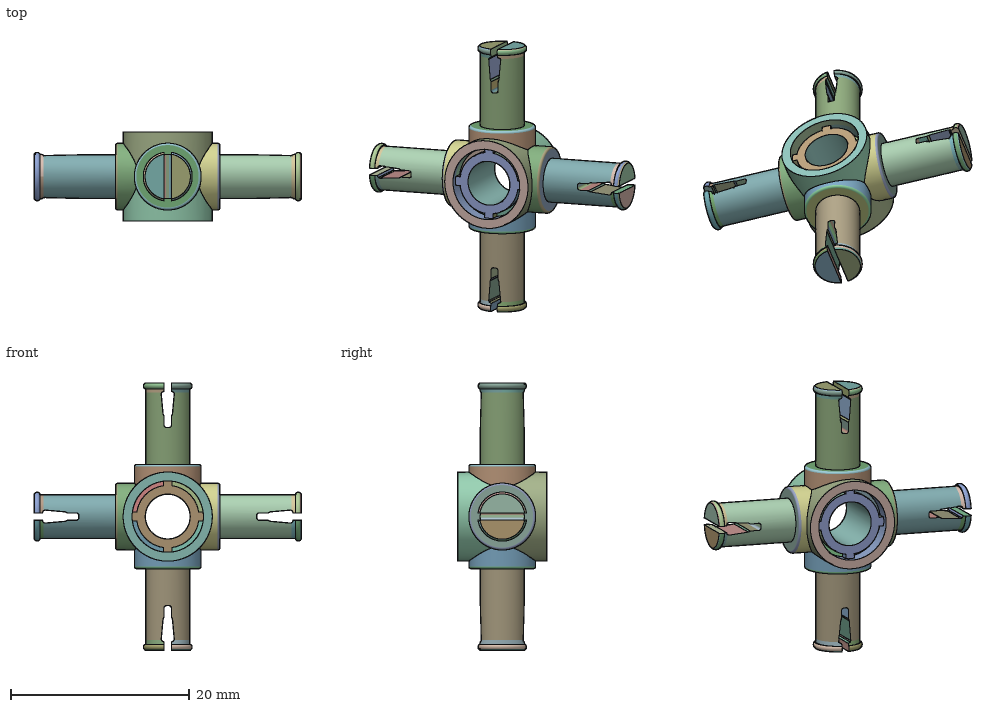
import cadquery as cq
hub_diameter = 10.0
hub_length = 10.0
bore_diameter = 5.0

recess_diameter = 8.0
recess_depth = 0.8
groove_inner_diameter = 7.0
groove_depth = 1.2
tab_width = 1.0
tab_count = 4

arm_count = 4
tip_distance = 29.98 / 2
collar_diameter = 7.5
collar_reach = 5.85
collar_edge_radius = 0.25
pin_diameter = 4.95

lip_diameter = 5.5
lip_face_diameter = 5.08
lip_rim_diameter = 5.32
lip_base_diameter = 5.16
lip_bevel_depth = 0.12
lip_length = 0.66

flare_start_depth = 1.1
flare_width = 5.14

slot_mouth_width = 0.8
slot_step_width = 1.28
slot_shoulder_width = 1.44
slot_waist_width = 1.03
slot_mouth_depth = 0.92
slot_step_depth = 1.05
slot_shoulder_depth = 1.2
slot_waist_depth = 3.5
slot_taper_end_depth = 3.75
slot_depth = 5.0
slot_end_radius = 0.25

full_turn = 360.0


def cylinder_along_y(diameter, start_y, length):
    """Cylinder on the Y axis from start_y toward +Y."""
    plane = cq.Workplane("XZ", origin=(0, start_y, 0))
    return plane.circle(diameter / 2).extrude(-length)


def make_pin():
    """Solid pin along +Z with a bevelled, rounded snap lip at its tip."""
    pin_radius = pin_diameter / 2
    base_z = tip_distance - lip_length
    bevel_z = tip_distance - lip_bevel_depth
    crest_z = (base_z + bevel_z) / 2
    return (
        cq.Workplane("XZ")
        .lineTo(pin_radius, 0)
        .lineTo(pin_radius, base_z)
        .lineTo(lip_base_diameter / 2, base_z)
        .threePointArc((lip_diameter / 2, crest_z), (lip_rim_diameter / 2, bevel_z))
        .lineTo(lip_face_diameter / 2, tip_distance)
        .lineTo(0, tip_distance)
        .close()
        .revolve(full_turn, (0, 0, 0), (0, 1, 0))
    )


def make_flare():
    """Blend from the round pin section to an oval one at the base of the lip."""
    pin_radius = pin_diameter / 2
    return (
        cq.Workplane("XY", origin=(0, 0, tip_distance - flare_start_depth))
        .ellipse(pin_radius, pin_radius)
        .workplane(offset=flare_start_depth - lip_length)
        .ellipse(pin_radius, flare_width / 2)
        .loft(ruled=True)
    )


def make_slot():
    """Through slot along Y: narrow mouth, two-slope shoulder, taper to a rounded end."""
    half_profile = [
        (slot_mouth_width / 2, tip_distance),
        (slot_mouth_width / 2, tip_distance - slot_mouth_depth),
        (slot_step_width / 2, tip_distance - slot_step_depth),
        (slot_shoulder_width / 2, tip_distance - slot_shoulder_depth),
        (slot_waist_width / 2, tip_distance - slot_waist_depth),
        (slot_mouth_width / 2, tip_distance - slot_taper_end_depth),
        (slot_mouth_width / 2, tip_distance - slot_depth),
    ]
    mirrored_half = [(-x, z) for x, z in reversed(half_profile)]
    slot = (
        cq.Workplane("XZ")
        .polyline(half_profile + mirrored_half)
        .close()
        .extrude(lip_diameter, both=True)
    )
    return slot.faces("<Z").edges("|Y").fillet(slot_end_radius)


def make_arm():
    """One complete arm along +Z, starting at the part centre."""
    collar = (
        cq.Workplane("XY")
        .circle(collar_diameter / 2)
        .extrude(collar_reach)
        .faces(">Z")
        .edges()
        .fillet(collar_edge_radius)
    )
    return collar.union(make_pin()).union(make_flare()).cut(make_slot())


def make_recess():
    """Material removed from the -Y hub face."""
    face_y = -hub_length / 2
    floor_y = face_y + recess_depth
    recess = cylinder_along_y(recess_diameter, face_y, recess_depth)
    groove = cylinder_along_y(recess_diameter, floor_y, groove_depth)
    groove = groove.cut(cylinder_along_y(groove_inner_diameter, floor_y, groove_depth))
    tab = cq.Workplane("XY").box(
        tab_width, hub_length, recess_diameter / 2, centered=(True, True, False)
    )
    for index in range(tab_count):
        angle = index * full_turn / tab_count
        groove = groove.cut(tab.rotate((0, 0, 0), (0, 1, 0), angle))
    return recess.union(groove)


body = cylinder_along_y(hub_diameter, -hub_length / 2, hub_length)

arm = make_arm()
for index in range(arm_count):
    arm_angle = index * full_turn / arm_count
    body = body.union(arm.rotate((0, 0, 0), (0, 1, 0), arm_angle))

front_recess = make_recess()
body = body.cut(front_recess)
body = body.cut(front_recess.mirror("XZ"))

result = body.cut(cylinder_along_y(bore_diameter, -hub_length / 2, hub_length))